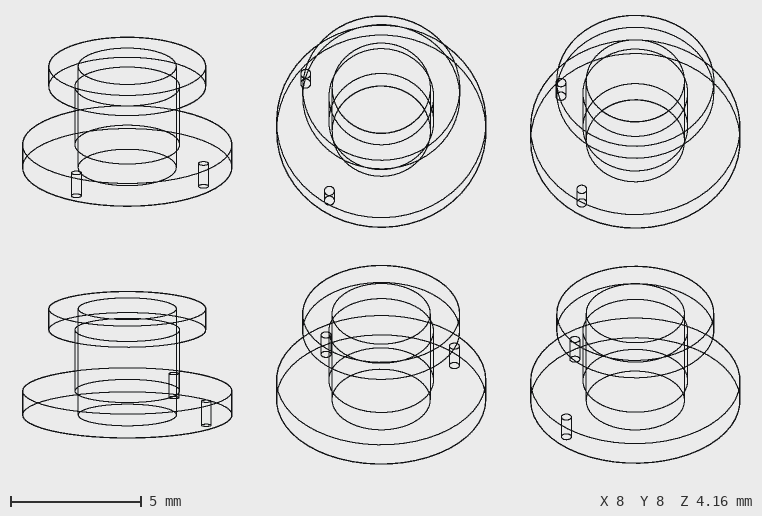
import cadquery as cq

total_height = 4.16
base_diameter = 8.0
base_thickness = 0.94
rim_diameter = 6.0
rim_thickness = 0.83
neck_diameter = 4.0
bore_diameter = 3.75

pin_hole_diameter = 0.38
pin_circle_radius = 3.5
pin_hole_directions = [(1, 0), (0, -1)]

neck_height = total_height - base_thickness - rim_thickness


def make_spool():
    """Wide base flange, thin neck and smaller top rim, stacked along Z."""
    base = cq.Workplane("XY").circle(base_diameter / 2).extrude(base_thickness)
    neck = base.faces(">Z").workplane().circle(neck_diameter / 2).extrude(neck_height)
    return neck.faces(">Z").workplane().circle(rim_diameter / 2).extrude(rim_thickness)


def make_bore():
    """Central bore running the full height."""
    return cq.Workplane("XY").circle(bore_diameter / 2).extrude(total_height)


def make_pin_holes():
    """One hole towards +X and one towards -Y, through the base flange."""
    centers = [(pin_circle_radius * x, pin_circle_radius * y) for x, y in pin_hole_directions]
    return cq.Workplane("XY").pushPoints(centers).circle(pin_hole_diameter / 2).extrude(base_thickness)


result = make_spool().cut(make_bore()).cut(make_pin_holes())